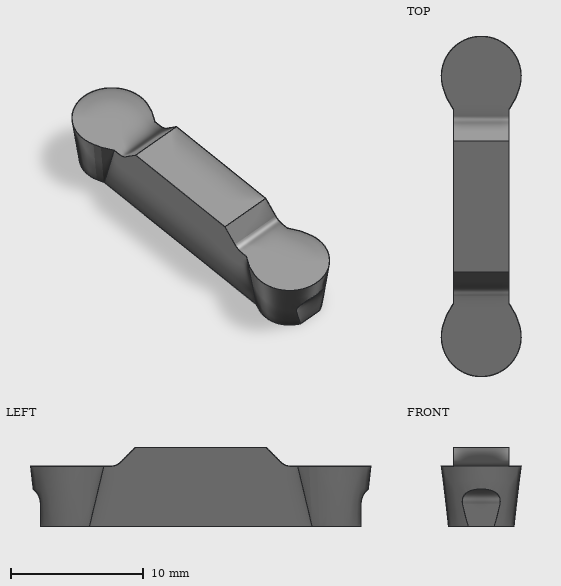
import cadquery as cq
import math

length = 25.63
height = 5.97

head_diameter = 6.02
head_radius = head_diameter / 2
head_height = 4.55
clearance_angle = 6.8
head_center = length / 2 - head_radius
base_inset = head_height * math.tan(math.radians(clearance_angle))

tangent_flat_angle = 20.0
neck_flat_angle = 30.0
neck_flat_distance = 3.08
neck_end_x = 1.55

bar_half_width = 2.1
raised_half_length = 4.92
ramp_angle = 45.0
ramp_fillet = 1.0
ramp_run = (height - head_height) / math.tan(math.radians(ramp_angle))
ramp_foot = raised_half_length + ramp_run

relief_depth = 0.75
relief_flat_height = 1.7
relief_radius = 1.49


def head_section(plane_z, inset):
    """Outline of the +Y head, shrunk by inset: an arc closed by two flats on each side."""
    radius = head_radius - inset
    tangent_angle = math.radians(tangent_flat_angle)
    neck_angle = math.radians(neck_flat_angle)
    neck_distance = neck_flat_distance - inset

    tangent_x = radius * math.cos(tangent_angle)
    tangent_y = head_center - radius * math.sin(tangent_angle)

    turn = math.sin(neck_angle - tangent_angle)
    corner_x = (radius * math.sin(neck_angle) - neck_distance * math.sin(tangent_angle)) / turn
    corner_drop = (neck_distance * math.cos(tangent_angle) - radius * math.cos(neck_angle)) / turn
    corner_y = head_center - corner_drop

    neck_end_drop = (neck_distance - neck_end_x * math.cos(neck_angle)) / math.sin(neck_angle)
    neck_end_y = head_center - neck_end_drop

    outline = (
        cq.Workplane("XY", origin=(0, 0, plane_z))
        .moveTo(tangent_x, tangent_y)
        .threePointArc((0, head_center + radius), (-tangent_x, tangent_y))
        .lineTo(-corner_x, corner_y)
        .lineTo(-neck_end_x, neck_end_y)
        .lineTo(neck_end_x, neck_end_y)
        .lineTo(corner_x, corner_y)
        .close()
    )
    return outline.wires().val()


def make_relief():
    """Cutter for the front relief of the +Y head."""
    flat_y = length / 2 - relief_depth
    arc_center_y = flat_y + relief_radius
    diagonal = relief_radius * math.sqrt(0.5)
    return (
        cq.Workplane("YZ")
        .moveTo(flat_y, 0)
        .lineTo(flat_y, relief_flat_height)
        .threePointArc(
            (arc_center_y - diagonal, relief_flat_height + diagonal),
            (arc_center_y, relief_flat_height + relief_radius),
        )
        .lineTo(arc_center_y, 0)
        .close()
        .extrude(head_radius, both=True)
    )


def make_head():
    """Tapered +Y head with its relief."""
    sections = [head_section(0, base_inset), head_section(head_height, 0)]
    head = cq.Workplane(cq.Solid.makeLoft(sections, True))
    return head.cut(make_relief())


def make_bar():
    """Bar between the head axes, with filleted ramps up to the raised top."""
    bar = (
        cq.Workplane("YZ")
        .polyline([
            (-head_center, 0),
            (head_center, 0),
            (head_center, head_height),
            (ramp_foot, head_height),
            (raised_half_length, height),
            (-raised_half_length, height),
            (-ramp_foot, head_height),
            (-head_center, head_height),
        ])
        .close()
        .extrude(bar_half_width, both=True)
    )
    for foot_y in (-ramp_foot, ramp_foot):
        foot_edge = cq.selectors.NearestToPointSelector((0, foot_y, head_height))
        bar = bar.edges("|X").edges(foot_edge).fillet(ramp_fillet)
    return bar


head = make_head()
result = make_bar().union(head).union(head.mirror("XZ")).clean()